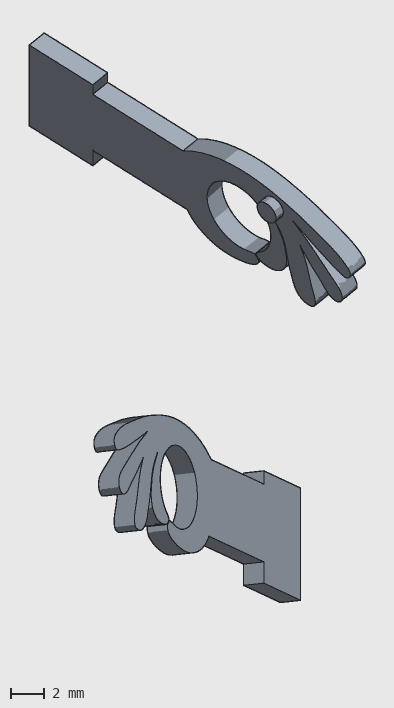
import cadquery as cq
import math

PLATE_THICKNESS = 1.35
CUFF_LENGTH = 5.0
CUFF_HEIGHT = 6.81
ARM_TOP = 2.6
ARM_BOTTOM = -2.12
WRIST_TOP = (12.1, ARM_TOP)
WRIST_BOTTOM = (12.42, ARM_BOTTOM)

RING_X = 16.48
RING_RADIUS = 2.5
RING_THUMB_ANGLE = -70.0
RING_FINGER_ANGLE = -54.5

PIN_DIAMETER = 1.5
PIN_LENGTH = 0.65
PIN_CENTER = (19.23, 2.7)

BACK_CURVE = [(14.2, 3.65), (17.0, 4.06), (18.98, 3.85)]
KNUCKLE = (21.35, 3.23)

UPPER_GAP_ROOT = (20.75, 2.47)
MIDDLE_GAP_ROOT = (21.28, 0.8)
LOWER_GAP_ROOT = (19.35, 1.5)

FIRST_UPPER = [(22.95, 2.62), (24.08, 2.12), (24.9, 1.55)]
FIRST_TIP = [(25.25, 0.98), (24.95, 0.53)]
FIRST_LOWER = [(24.53, 0.58), (23.47, 1.0), (22.41, 1.56), (21.43, 2.12)]

SECOND_UPPER = [(21.25, 2.1), (22.5, 1.03), (23.85, -0.28)]
SECOND_TIP = [(24.58, -1.2), (24.55, -1.65), (24.2, -1.97), (23.62, -1.85)]
SECOND_LOWER = [(23.02, -1.2), (22.19, -0.3), (21.65, 0.35)]

THIRD_UPPER = [(21.5, 0.35), (21.8, -0.45), (22.25, -2.25)]
THIRD_TIP = [(22.5, -3.2), (22.36, -3.6), (21.95, -3.74), (21.43, -3.6), (20.97, -3.15)]
THIRD_LOWER = [(20.62, -2.25), (20.4, -1.41), (20.25, -0.58), (20.02, 0.35), (19.76, 0.88)]

CURLED_OUTER = [
    (19.7, 0.85), (19.96, 0.3), (20.17, -0.58),
    (20.22, -1.41), (19.91, -2.17), (19.35, -2.57), (18.75, -2.68),
]
CURLED_TIP_OUTER = (18.05, -2.55)
CURLED_TIP_INNER = (17.8, -2.25)

THUMB_TIP_INNER = (17.75, -2.27)
THUMB_TIP_OUTER = (18.0, -2.57)
THUMB_OUTER = [
    (18.02, -2.78), (17.9, -3.03), (17.47, -3.33),
    (16.78, -3.55), (15.65, -3.7), (14.29, -3.5), (13.45, -3.13),
]


def ring_point(angle):
    """Point on the ring hole at an angle in degrees from +X."""
    return (
        RING_X + RING_RADIUS * math.cos(math.radians(angle)),
        RING_RADIUS * math.sin(math.radians(angle)),
    )


def add_finger(outline, upper, tip, lower, root):
    """Run the outline around a finger to the root of the gap below it."""
    return outline.spline(upper + tip + lower + [root], includeCurrent=True)


def make_hand():
    """Flat plate with a cuff, an arm and a hand whose fingers enclose the ring hole."""
    half_cuff = CUFF_HEIGHT / 2
    outline = (
        cq.Workplane("XZ")
        .moveTo(CUFF_LENGTH, ARM_BOTTOM)
        .lineTo(CUFF_LENGTH, -half_cuff)
        .lineTo(0, -half_cuff)
        .lineTo(0, half_cuff)
        .lineTo(CUFF_LENGTH, half_cuff)
        .lineTo(CUFF_LENGTH, ARM_TOP)
        .lineTo(*WRIST_TOP)
        .spline(BACK_CURVE + [KNUCKLE], includeCurrent=True)
    )
    outline = add_finger(outline, FIRST_UPPER, FIRST_TIP, FIRST_LOWER, UPPER_GAP_ROOT)
    outline = add_finger(outline, SECOND_UPPER, SECOND_TIP, SECOND_LOWER, MIDDLE_GAP_ROOT)
    outline = add_finger(outline, THIRD_UPPER, THIRD_TIP, THIRD_LOWER, LOWER_GAP_ROOT)
    outline = (
        outline.spline(CURLED_OUTER + [CURLED_TIP_OUTER], includeCurrent=True)
        .lineTo(*CURLED_TIP_INNER)
        .lineTo(*ring_point(RING_FINGER_ANGLE))
        .threePointArc((RING_X - RING_RADIUS, 0), ring_point(RING_THUMB_ANGLE))
        .lineTo(*THUMB_TIP_INNER)
        .lineTo(*THUMB_TIP_OUTER)
        .spline(THUMB_OUTER + [WRIST_BOTTOM], includeCurrent=True)
        .close()
    )
    return outline.extrude(-PLATE_THICKNESS)


def make_pin():
    """Round pin standing on the front face of the hand."""
    return cq.Workplane("XZ").center(*PIN_CENTER).circle(PIN_DIAMETER / 2).extrude(PIN_LENGTH)


hand = make_hand()
pin = make_pin()
result = cq.Compound.makeCompound([hand.val(), pin.val()])